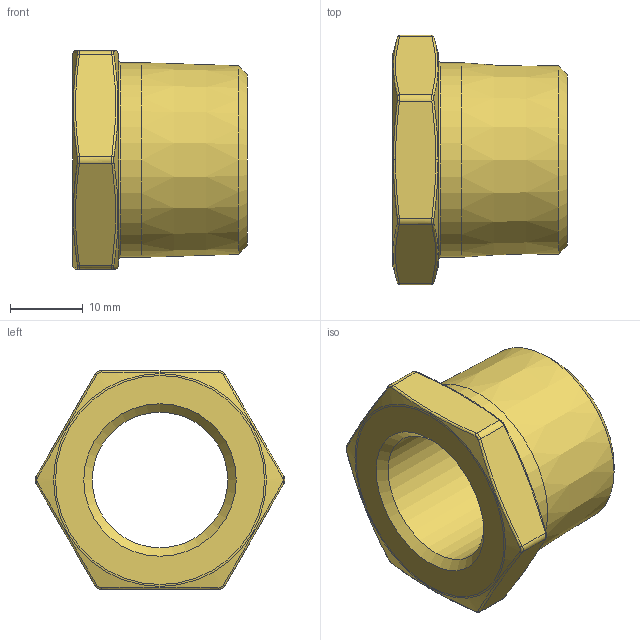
import cadquery as cq
import math

total_length = 24.0

hexagon_sides = 6
across_flats = 30.0
head_length = 6.3
head_corner_radius = 1.0
head_cone_diameter = 29.0
head_cone_angle = 15.0
head_face_blend = 1.0
head_flat_blend = 0.3

shank_diameter = 26.75
shank_root_fillet = 0.3
taper_start = 9.5
taper_ratio = 1 / 16
tip_chamfer = 1.2

bore_diameter = 18.63
bore_mouth_diameter = 20.955

across_corners = across_flats / math.cos(math.pi / hexagon_sides)
cone_radius = head_cone_diameter / 2
cone_slope = math.tan(math.radians(head_cone_angle))
cone_depth = (across_corners / 2 - cone_radius) * cone_slope
shank_radius = shank_diameter / 2
shank_embed_start = head_length / 2
chamfer_start = total_length - tip_chamfer
taper_end_radius = shank_radius - (chamfer_start - taper_start) * taper_ratio / 2
bore_radius = bore_diameter / 2
bore_mouth_radius = bore_mouth_diameter / 2
bore_chamfer = bore_mouth_radius - bore_radius


def revolve_about_x(profile):
    """Turn a closed (axial, radial) profile drawn on the XZ plane about the X axis."""
    return profile.revolve(360, (0, 0, 0), (1, 0, 0))


def make_head():
    """Hexagon with flats facing +Z and -Z, turned to a blunt cone at both ends."""
    prism = (
        cq.Workplane("YZ")
        .polygon(hexagon_sides, across_corners)
        .extrude(head_length)
        .edges("|X")
        .fillet(head_corner_radius)
    )
    turned_envelope = revolve_about_x(
        cq.Workplane("XZ")
        .lineTo(0, cone_radius)
        .lineTo(cone_depth, across_corners / 2)
        .lineTo(head_length - cone_depth, across_corners / 2)
        .lineTo(head_length, cone_radius)
        .lineTo(head_length, 0)
        .close()
    )
    turned_envelope = turned_envelope.faces("<X or >X").edges().fillet(head_face_blend)
    head = prism.intersect(turned_envelope)
    flat_outlines = head.faces("%PLANE").faces("#X").edges("%HYPERBOLA or %BSPLINE")
    return flat_outlines.fillet(head_flat_blend)


def make_shank():
    """Cylindrical neck with a filleted root, followed by a tapered and chamfered end."""
    return revolve_about_x(
        cq.Workplane("XZ")
        .moveTo(shank_embed_start, 0)
        .lineTo(shank_embed_start, shank_radius + shank_root_fillet)
        .lineTo(head_length, shank_radius + shank_root_fillet)
        .radiusArc((head_length + shank_root_fillet, shank_radius), -shank_root_fillet)
        .lineTo(taper_start, shank_radius)
        .lineTo(chamfer_start, taper_end_radius)
        .lineTo(total_length, taper_end_radius - tip_chamfer)
        .lineTo(total_length, 0)
        .close()
    )


def make_bore():
    """Through bore with a 45 degree countersink at the head end."""
    return revolve_about_x(
        cq.Workplane("XZ")
        .lineTo(0, bore_mouth_radius)
        .lineTo(bore_chamfer, bore_radius)
        .lineTo(total_length, bore_radius)
        .lineTo(total_length, 0)
        .close()
    )


result = make_head().union(make_shank()).cut(make_bore())